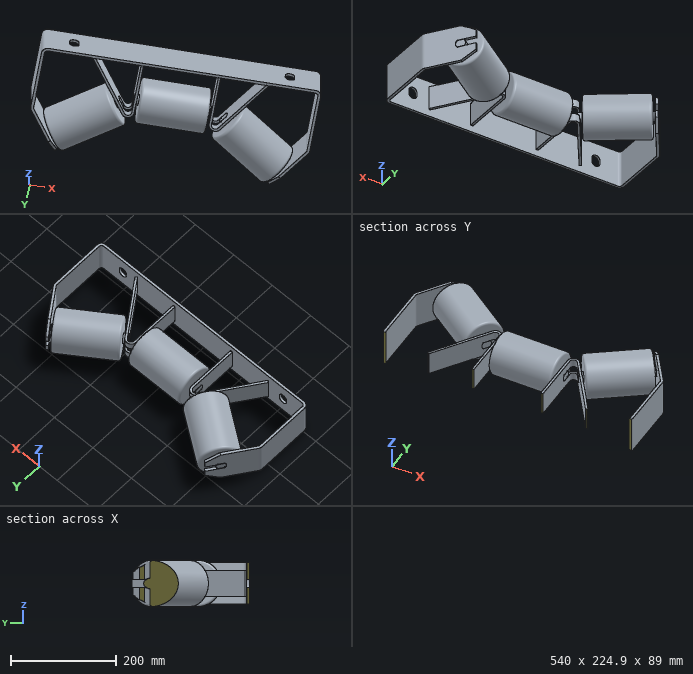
import cadquery as cq
import math

FRAME_SHEET = 6.0
BRACKET_SHEET = 5.0
FRAME_HEIGHT = 80.0
BRACKET_HEIGHT = 50.0
FRAME_LENGTH = 540.0
FRAME_BEND_RADIUS = 12.0
BRACKET_BEND_RADIUS = 12.5
ARM_TIP_Y = 222.5
TIP_CHAMFER_LENGTH = 30.0
TIP_CHAMFER_DROP = TIP_CHAMFER_LENGTH * math.tan(math.radians(30))

MOUNT_OFFSET = 208.5
MOUNT_WIDTH = 18.0
MOUNT_HEIGHT = 25.0

ROLLER_DIAMETER = 89.0
ROLLER_LENGTH = 134.0
ROLLER_FILLET = 5.0
SHAFT_DIAMETER = 20.5
FLAT_WIDTH = 15.0
SUPPORT_GAP = 144.0
FLAT_START = 71.0

TILT = 35.0
MIDDLE_ROLLER_Y = 99.5
OUTER_ROLLER_X = 162.0
OUTER_ROLLER_Y = 152.0

SIN = math.sin(math.radians(TILT))
COS = math.cos(math.radians(TILT))
SHAFT_LENGTH = SUPPORT_GAP + 2 * BRACKET_SHEET

ROLLER_CENTRE = cq.Vector(-OUTER_ROLLER_X, OUTER_ROLLER_Y)
INWARD = cq.Vector(COS, -SIN)
UPWARD = cq.Vector(SIN, COS)


def bent_sheet(points, outer_radius, sheet, height):
    """Strip of sheet along a centre line through the points, rounded at each inner point."""
    radius = outer_radius - sheet / 2
    path = cq.Workplane("XY").moveTo(points[0].x, points[0].y)
    for before, corner, after in zip(points, points[1:], points[2:]):
        back = (before - corner).normalized()
        ahead = (after - corner).normalized()
        half_angle = back.getAngle(ahead) / 2
        tangent = radius / math.tan(half_angle)
        to_arc = radius / math.sin(half_angle) - radius
        start = corner + back * tangent
        middle = corner + (back + ahead).normalized() * to_arc
        end = corner + ahead * tangent
        path = path.lineTo(start.x, start.y)
        path = path.threePointArc((middle.x, middle.y), (end.x, end.y))
    path = path.lineTo(points[-1].x, points[-1].y)
    start_plane = cq.Plane(points[0], (0, 0, 1), points[1] - points[0])
    return cq.Workplane(start_plane).rect(height, sheet).sweep(path)


def point_on_sheet(sheet_point, x=None, y=None):
    """Point at a given x or y on the line through sheet_point along the tilted sheets."""
    if x is not None:
        return sheet_point + UPWARD * ((x - sheet_point.x) / SIN)
    return sheet_point + UPWARD * ((y - sheet_point.y) / COS)


def place_middle(body):
    return body.translate((0, MIDDLE_ROLLER_Y, 0))


def place_left(body):
    return body.rotate((0, 0, 0), (0, 0, 1), -TILT).translate(ROLLER_CENTRE)


def mirrored(body):
    return body.mirror("YZ")


def rod(diameter, length):
    """Round bar along X, centred on the origin."""
    return cq.Workplane("YZ").workplane(offset=-length / 2).circle(diameter / 2).extrude(length)


def make_roller():
    """Roller along X with its shaft, flattened where it sits in the sheets."""
    shaft = rod(SHAFT_DIAMETER, SHAFT_LENGTH)
    round_part = cq.Workplane("XY").box(2 * FLAT_START, SHAFT_DIAMETER, SHAFT_DIAMETER)
    flat_part = cq.Workplane("XY").box(SHAFT_LENGTH, SHAFT_DIAMETER, FLAT_WIDTH)
    shaft = shaft.intersect(round_part.union(flat_part))
    drum = rod(ROLLER_DIAMETER, ROLLER_LENGTH)
    return drum.edges("%CIRCLE").fillet(ROLLER_FILLET).union(shaft)


def make_shaft_slot():
    """Cutter for open shaft slots: a rounded seat for the shaft, open towards +Y."""
    reach = SUPPORT_GAP + 2 * BRACKET_BEND_RADIUS
    opening = cq.Workplane("XY").box(reach, ARM_TIP_Y, FLAT_WIDTH, centered=(True, False, True))
    through = SUPPORT_GAP + 2 * FRAME_SHEET
    seat = rod(SHAFT_DIAMETER, through)
    seat = seat.intersect(cq.Workplane("XY").box(through, SHAFT_DIAMETER, FLAT_WIDTH))
    return opening.union(seat)


def tip_chamfer(tip, side):
    """Wedge that trims the upper (side 1) or lower (side -1) corner of the left arm tip."""
    plane = cq.Plane(tip, UPWARD, UPWARD.cross(cq.Vector(0, 0, 1)))
    edge = side * FRAME_HEIGHT / 2
    corners = [(0, edge), (-TIP_CHAMFER_LENGTH, edge), (0, edge - side * TIP_CHAMFER_DROP)]
    return cq.Workplane(plane).polyline(corners).close().extrude(2 * FRAME_SHEET, both=True)


def make_frame():
    side_x = -FRAME_LENGTH / 2 + FRAME_SHEET / 2
    arm_line = ROLLER_CENTRE - INWARD * ((SUPPORT_GAP + FRAME_SHEET) / 2)
    tip = point_on_sheet(arm_line, y=ARM_TIP_Y - FRAME_SHEET / 2 * SIN)
    shoulder = point_on_sheet(arm_line, x=side_x)
    left = [tip, shoulder, cq.Vector(side_x, FRAME_SHEET / 2)]
    right = [cq.Vector(-point.x, point.y) for point in reversed(left)]
    frame = bent_sheet(left + right, FRAME_BEND_RADIUS, FRAME_SHEET, FRAME_HEIGHT)

    for side in (1, -1):
        wedge = tip_chamfer(tip, side)
        frame = frame.cut(wedge).cut(mirrored(wedge))

    mounts = (
        cq.Workplane("XZ")
        .pushPoints([(-MOUNT_OFFSET, 0), (MOUNT_OFFSET, 0)])
        .slot2D(MOUNT_HEIGHT, MOUNT_WIDTH, 90)
        .extrude(2 * FRAME_SHEET, both=True)
    )
    slot = place_left(make_shaft_slot())
    return frame.cut(mounts).cut(slot).cut(mirrored(slot))


def make_left_bracket():
    """Hooked bracket between the left and middle rollers, standing on the frame."""
    sheet_centre = (SUPPORT_GAP + BRACKET_SHEET) / 2
    tilted_line = ROLLER_CENTRE + INWARD * sheet_centre
    foot = cq.Vector(-sheet_centre, FRAME_SHEET)
    crown = point_on_sheet(tilted_line, x=-sheet_centre)
    tilted_foot = point_on_sheet(tilted_line, y=FRAME_SHEET + BRACKET_SHEET / 2 * SIN)
    bracket = bent_sheet([foot, crown, tilted_foot], BRACKET_BEND_RADIUS, BRACKET_SHEET, BRACKET_HEIGHT)
    slot = make_shaft_slot()
    return bracket.cut(place_middle(slot)).cut(place_left(slot))


frame = make_frame()

left_bracket = make_left_bracket()
brackets = [left_bracket, mirrored(left_bracket)]

left_roller = place_left(make_roller())
rollers = [left_roller, place_middle(make_roller()), mirrored(left_roller)]

bodies = [frame, *brackets, *rollers]
result = cq.Compound.makeCompound([body.val() for body in bodies])